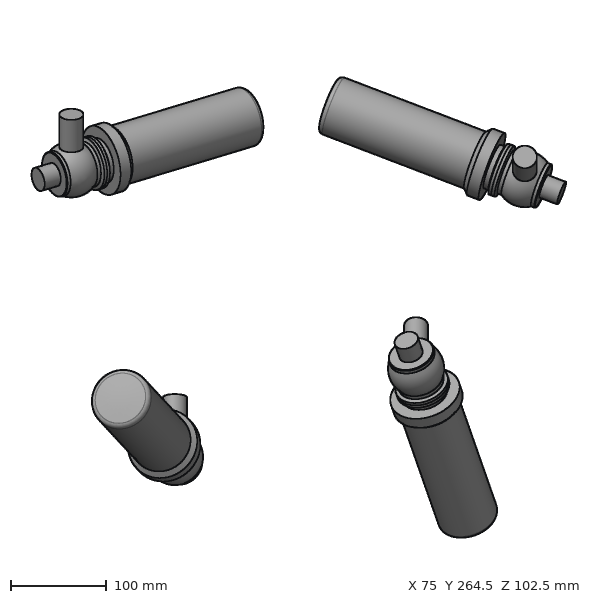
import cadquery as cq
import math

length = 264.5
front = -length / 2
back = length / 2

neck_radius = 49.0 / 2
nozzle_radius = 25.5 / 2
ferrule_radius = 57.0 / 2
ferrule_thickness = 5.0
ferrule_slope = math.radians(20)
ferrule_taper = (ferrule_radius - neck_radius) * math.tan(ferrule_slope)
joint_y = front + 67.7

nozzle_length = 20.0
ball_radius = 29.5
ball_y = front + 41.5
nozzle_top = 65.0
end_chamfer = 0.8
end_y = front + nozzle_length
ball_half_width = math.sqrt(ball_radius**2 - neck_radius**2)

barrel_radius = 64.0 / 2
flange_radius = 75.0 / 2
flange_y = front + 78.5
flange_thickness = 13.2
dome_height = 2.0
dome_edge_radius = 5.3
flange_back_y = flange_y + flange_thickness
barrel_y = flange_back_y + flange_radius - barrel_radius
dome_sphere_radius = (barrel_radius**2 + dome_height**2) / (2 * dome_height)
dome_mid_radius = barrel_radius / 2
dome_mid_y = back - dome_sphere_radius + math.sqrt(dome_sphere_radius**2 - dome_mid_radius**2)


def revolve_about_y(profile):
    return profile.close().revolve(360, (0, 0, 0), (0, 1, 0))


def make_valve():
    ferrule_edge_y = joint_y - ferrule_thickness + ferrule_taper
    profile = (
        cq.Workplane("XY")
        .moveTo(0, front)
        .lineTo(nozzle_radius, front)
        .lineTo(nozzle_radius, end_y)
        .lineTo(neck_radius - end_chamfer, end_y)
        .lineTo(neck_radius, end_y + end_chamfer)
        .lineTo(neck_radius, ball_y - ball_half_width)
        .threePointArc((ball_radius, ball_y), (neck_radius, ball_y + ball_half_width))
        .lineTo(neck_radius, joint_y - ferrule_thickness)
        .lineTo(ferrule_radius, ferrule_edge_y)
        .lineTo(ferrule_radius, joint_y)
        .lineTo(0, joint_y)
    )
    upward_nozzle = cq.Workplane("XY").center(0, ball_y).circle(nozzle_radius).extrude(nozzle_top)
    return revolve_about_y(profile).union(upward_nozzle)


def make_cylinder():
    ferrule_edge_y = joint_y + ferrule_thickness - ferrule_taper
    profile = (
        cq.Workplane("XY")
        .moveTo(0, joint_y)
        .lineTo(ferrule_radius, joint_y)
        .lineTo(ferrule_radius, ferrule_edge_y)
        .lineTo(neck_radius, joint_y + ferrule_thickness)
        .lineTo(neck_radius, flange_y)
        .lineTo(flange_radius, flange_y)
        .lineTo(flange_radius, flange_back_y)
        .lineTo(barrel_radius, barrel_y)
        .lineTo(barrel_radius, back - dome_height)
        .threePointArc((dome_mid_radius, dome_mid_y), (0, back))
    )
    return revolve_about_y(profile).faces(">Y").edges("%CIRCLE").fillet(dome_edge_radius)


valve = make_valve()
cylinder = make_cylinder()
result = cq.Compound.makeCompound([valve.solids().val(), cylinder.solids().val()])